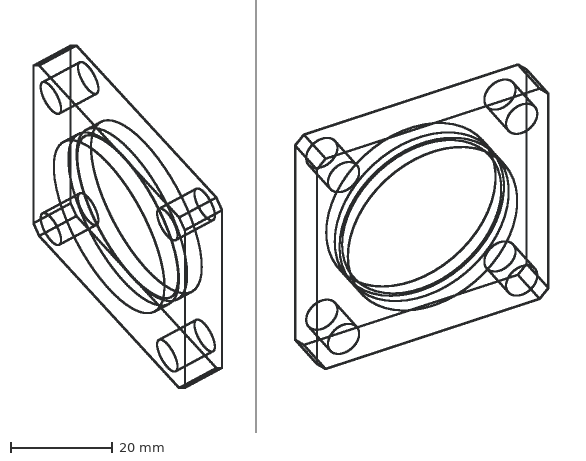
import cadquery as cq

side = 52.0
thickness = 9.0
corner_chamfer = 2.0
bolt_spacing = 40.0
bolt_diameter = 7.0
bore_diameter = 38.0
bead_radius = 1.0

bore_radius = bore_diameter / 2


def make_plate():
    """Square plate centred on the origin, with its four corners chamfered."""
    plate = cq.Workplane("XY").box(side, thickness, side)
    return plate.edges("|Y").chamfer(corner_chamfer)


def make_bolt_holes():
    """Four through-hole cutters at the corners of a square."""
    return (
        cq.Workplane("XZ")
        .rect(bolt_spacing, bolt_spacing, forConstruction=True)
        .vertices()
        .circle(bolt_diameter / 2)
        .extrude(thickness / 2, both=True)
    )


def make_bore():
    """Bore cutter with a half-round groove at mid thickness, which leaves the bead."""
    half_thickness = thickness / 2
    return (
        cq.Workplane("XY")
        .moveTo(0, -half_thickness)
        .lineTo(bore_radius, -half_thickness)
        .lineTo(bore_radius, -bead_radius)
        .threePointArc((bore_radius - bead_radius, 0), (bore_radius, bead_radius))
        .lineTo(bore_radius, half_thickness)
        .lineTo(0, half_thickness)
        .close()
        .revolve(360, (0, 0, 0), (0, 1, 0))
    )


result = make_plate().cut(make_bolt_holes()).cut(make_bore())